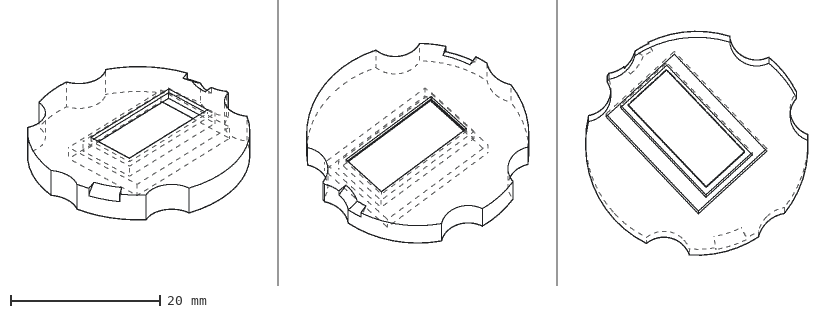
import cadquery as cq
import math

disc_radius = 14.93
thickness = 4.1
cut_margin = 0.3

deep_notch = (16.68, 3.63)
shallow_notch = (18.35, 4.3)
deep_notch_angles = (91.0, 185.1, 231.7, 351.7)
upper_shallow_angle = 113.4
lower_shallow_angle = 293.5
shallow_notch_angles = (upper_shallow_angle, lower_shallow_angle)

slot_tilt = 23.3
slot_center = (-0.98, 1.95)
slot_width = 7.08
slot_length = 15.38
lip_depth = 0.6
step_depth = 2.25
step_offset = 0.7
pocket_side_offset = 2.75
pocket_end_offset = 1.4

lower_bevel_width = 1.55
lower_bevel_depth = 1.25
lower_bevel_start = -50.3
lower_bevel_end = -33.5
upper_bevel_width = 1.35
upper_bevel_depth = 0.95
upper_bevel_start = 121.0
upper_bevel_end = 130.4
notch_bevel_start = -110.0
notch_bevel_end = -63.0
lower_bevel_bulge = 0.09
upper_bevel_bulge = -0.04


def polar(distance, angle):
    """Point at a distance and angle from the disc axis."""
    return (distance * math.cos(math.radians(angle)), distance * math.sin(math.radians(angle)))


def notch_cutter(notch, angle):
    distance, radius = notch
    return cq.Workplane("XY").center(*polar(distance, angle)).circle(radius).extrude(thickness)


def slot_level(side_offset, end_offset, height):
    """Slot prism rising from the bottom face, grown by an offset on its sides and ends."""
    return (
        cq.Workplane("XY")
        .rect(slot_width + 2 * side_offset, slot_length + 2 * end_offset)
        .extrude(height)
        .rotate((0, 0, 0), (0, 0, 1), slot_tilt)
        .translate((slot_center[0], slot_center[1], 0))
    )


def bevel_cutter(edge_radius, inward, width, depth, bulge, start, end):
    """Revolved cutter that bevels a circular top edge.

    inward is -1 when the material lies inside the edge radius and 1 when it lies outside.
    """
    inner = edge_radius + inward * width
    outer = edge_radius - inward * cut_margin
    bottom = thickness - depth
    middle = (
        edge_radius + inward * (width / 2 - bulge * depth),
        thickness - depth / 2 + bulge * width,
    )
    return (
        cq.Workplane("XZ")
        .moveTo(inner, thickness)
        .threePointArc(middle, (edge_radius, bottom))
        .lineTo(outer, bottom)
        .lineTo(outer, thickness + cut_margin)
        .lineTo(inner, thickness + cut_margin)
        .close()
        .revolve(end - start, (0, 0), (0, 1))
        .rotate((0, 0, 0), (0, 0, 1), start)
    )


result = cq.Workplane("XY").circle(disc_radius).extrude(thickness)
for notch_angle in deep_notch_angles:
    result = result.cut(notch_cutter(deep_notch, notch_angle))
for notch_angle in shallow_notch_angles:
    result = result.cut(notch_cutter(shallow_notch, notch_angle))

result = result.cut(slot_level(0, 0, thickness))
result = result.cut(slot_level(step_offset, step_offset, thickness - lip_depth))
result = result.cut(slot_level(pocket_side_offset, pocket_end_offset, thickness - step_depth))

result = result.cut(
    bevel_cutter(
        disc_radius,
        -1,
        lower_bevel_width,
        lower_bevel_depth,
        lower_bevel_bulge,
        lower_bevel_start,
        lower_bevel_end,
    )
)

result = result.cut(
    bevel_cutter(
        disc_radius,
        -1,
        upper_bevel_width,
        upper_bevel_depth,
        upper_bevel_bulge,
        upper_bevel_start,
        upper_bevel_end,
    )
)
notch_distance, notch_radius = shallow_notch
notch_x, notch_y = polar(notch_distance, upper_shallow_angle)
notch_bevel = bevel_cutter(
    notch_radius,
    1,
    upper_bevel_width,
    upper_bevel_depth,
    upper_bevel_bulge,
    notch_bevel_start,
    notch_bevel_end,
)
result = result.cut(notch_bevel.translate((notch_x, notch_y, 0)))